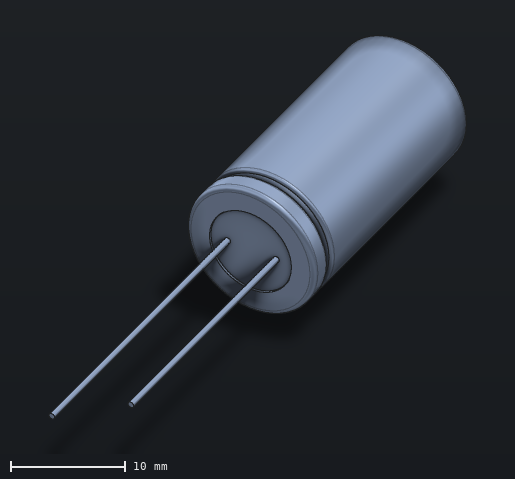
import cadquery as cq


can_diameter = 13.2
can_length = 25.4
can_radius = can_diameter / 2
end_fillet = 0.5

groove_center = 2.53
groove_width = 0.76
groove_wall_depth = 0.36
groove_depth = 0.58
lip_radius = 0.33

recess_radius = 4.2
recess_depth = 0.25

lead_diameter = 0.6
lead_pitch = 5.0
overall_length = 54.15
long_lead_end = can_length - overall_length
lead_length_difference = 5.0
short_lead_end = long_lead_end + lead_length_difference


def make_can():
    """Revolve the can profile with its crimp groove, then round the rims and groove lips."""
    front = groove_center - groove_width / 2
    back = groove_center + groove_width / 2
    wall_bottom = can_radius - groove_wall_depth
    profile = (
        cq.Workplane("XY")
        .lineTo(can_radius, 0)
        .lineTo(can_radius, front)
        .lineTo(wall_bottom, front)
        .lineTo(can_radius - groove_depth, groove_center)
        .lineTo(wall_bottom, back)
        .lineTo(can_radius, back)
        .lineTo(can_radius, can_length)
        .lineTo(0, can_length)
        .close()
    )
    can = profile.revolve(360, (0, 0, 0), (0, 1, 0))
    can = can.faces("<Y or >Y").edges().fillet(end_fillet)
    for lip_y in (front, back):
        edges_at_wall = cq.selectors.BoxSelector(
            (-can_diameter, lip_y - lip_radius / 2, -can_diameter),
            (can_diameter, lip_y + lip_radius / 2, can_diameter),
        )
        outermost = cq.selectors.RadiusNthSelector(-1)
        can = can.edges(edges_at_wall).edges(outermost).fillet(lip_radius)
    return can


def make_rod(x, radius, y_start, y_end):
    """Cylinder parallel to Y at the given X, from y_start up to y_end."""
    return cq.Workplane("XZ", origin=(x, y_end, 0)).circle(radius).extrude(y_end - y_start)


recess = make_rod(0, recess_radius, 0, recess_depth)
result = make_can().cut(recess)

for lead_x, lead_end in ((-lead_pitch / 2, long_lead_end), (lead_pitch / 2, short_lead_end)):
    lead = make_rod(lead_x, lead_diameter / 2, lead_end, recess_depth)
    result = result.union(lead)